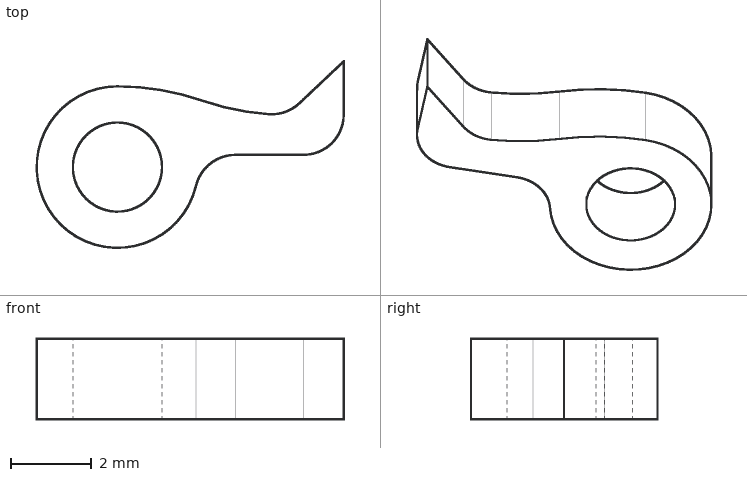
import cadquery as cq
import math

thickness = 2.0
hub_radius = 2.0
bore_radius = 1.1
arm_end_x = 5.6
tip_y = 2.62
arm_bottom_y = 0.3
heel_radius = 1.0
armpit_radius = 1.0

crown_radius = 6.4
hollow_radius = 6.3
tip_root_radius = 1.0
crown_end_angle = math.radians(-19.15)
hollow_end_angle = math.radians(-3.8)


def point_on_circle(center, radius, angle):
    """Point at the given polar angle on a circle."""
    return (center[0] + radius * math.cos(angle), center[1] + radius * math.sin(angle))


def convex_point(center, radius, edge_angle):
    """Point of a convex upper edge where its direction is edge_angle."""
    return point_on_circle(center, radius, edge_angle + math.pi / 2)


def concave_point(center, radius, edge_angle):
    """Point of a concave upper edge where its direction is edge_angle."""
    return point_on_circle(center, radius, edge_angle - math.pi / 2)


def concave_center(start, radius, edge_angle):
    """Center of a concave arc leaving start in direction edge_angle."""
    return point_on_circle(start, radius, edge_angle + math.pi / 2)


def flank_direction(center, radius, tip):
    """Direction of the line that leaves a concave arc tangentially and ends at the tip."""
    offset_x = tip[0] - center[0]
    offset_y = tip[1] - center[1]
    return math.atan2(offset_y, offset_x) + math.asin(radius / math.hypot(offset_x, offset_y))


def make_outline():
    """Closed outline of the hub and arm, clockwise from the top of the hub."""
    hub_top = (0, hub_radius)
    crown_center = (0, hub_radius - crown_radius)
    crown_mid = convex_point(crown_center, crown_radius, crown_end_angle / 2)
    crown_end = convex_point(crown_center, crown_radius, crown_end_angle)

    hollow_center = concave_center(crown_end, hollow_radius, crown_end_angle)
    hollow_mid_angle = (crown_end_angle + hollow_end_angle) / 2
    hollow_mid = concave_point(hollow_center, hollow_radius, hollow_mid_angle)
    hollow_end = concave_point(hollow_center, hollow_radius, hollow_end_angle)

    root_center = concave_center(hollow_end, tip_root_radius, hollow_end_angle)
    tip = (arm_end_x, tip_y)
    flank_angle = flank_direction(root_center, tip_root_radius, tip)
    root_mid_angle = (hollow_end_angle + flank_angle) / 2
    root_mid = concave_point(root_center, tip_root_radius, root_mid_angle)
    root_end = concave_point(root_center, tip_root_radius, flank_angle)

    heel_center = (arm_end_x - heel_radius, arm_bottom_y + heel_radius)
    heel_start = (arm_end_x, heel_center[1])
    heel_mid = point_on_circle(heel_center, heel_radius, -math.pi / 4)
    heel_end = (heel_center[0], arm_bottom_y)

    center_distance = hub_radius + armpit_radius
    armpit_center_y = arm_bottom_y - armpit_radius
    armpit_center = (math.sqrt(center_distance**2 - armpit_center_y**2), armpit_center_y)
    armpit_direction = math.atan2(armpit_center[1], armpit_center[0])
    armpit_start = (armpit_center[0], arm_bottom_y)
    armpit_mid_angle = (math.pi / 2 + armpit_direction + math.pi) / 2
    armpit_mid = point_on_circle(armpit_center, armpit_radius, armpit_mid_angle)
    armpit_end = point_on_circle((0, 0), hub_radius, armpit_direction)

    return (
        cq.Workplane("XY")
        .moveTo(*hub_top)
        .threePointArc(crown_mid, crown_end)
        .threePointArc(hollow_mid, hollow_end)
        .threePointArc(root_mid, root_end)
        .lineTo(*tip)
        .lineTo(*heel_start)
        .threePointArc(heel_mid, heel_end)
        .lineTo(*armpit_start)
        .threePointArc(armpit_mid, armpit_end)
        .threePointArc((-hub_radius, 0), hub_top)
        .close()
    )


def make_bore():
    """Through hole on the hub axis."""
    return cq.Workplane("XY").circle(bore_radius).extrude(thickness)


result = make_outline().extrude(thickness).cut(make_bore())